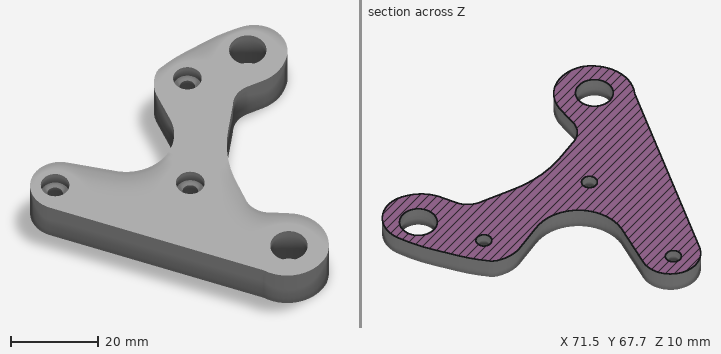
import cadquery as cq

thickness = 10.0
pivot_hole_diameter = 8.6
screw_hole_diameter = 3.6
counterbore_diameter = 6.6
counterbore_depth = 3.1

pivot_centres = [(33.1, 59.8), (62.3, 9.1)]
screw_centres = [(5.8, 6.85), (23.1, 47.1), (34.6, 18.4)]

left_end_radius = 7.15
bottom_edge_start_x = 6.85
bottom_edge_y = 0.2
bottom_edge_end_x = 59.45
right_lobe_bottom = (61.9, 0.0)
right_lobe_tip = (71.45, 9.2)


def plate():
    """Three-armed plate, outlined clockwise from the left end of its bottom edge."""
    outline = (
        cq.Workplane("XY")
        .moveTo(bottom_edge_start_x, bottom_edge_y)
        .threePointArc((0, left_end_radius), (5.85, 14.1))
        .lineTo(18.0, 15.8)
        .threePointArc((26.8, 26.6), (23.6, 34.4))
        .lineTo(18.7, 39.4)
        .threePointArc((16.5, 42.65), (15.8, 46.0))
        .threePointArc((15.9, 47.15), (16.4, 48.3))
        .threePointArc((17.85, 51.1), (19.65, 53.9))
        .lineTo(23.2, 58.9)
        .threePointArc((26.0, 62.4), (29.15, 65.5))
        .threePointArc((34.8, 67.7), (42.2, 60.0))
        .threePointArc((41.8, 56.4), (39.85, 52.9))
        .lineTo(36.6, 49.4)
        .threePointArc((35.35, 46.8), (35.6, 43.6))
        .lineTo(37.15, 36.4)
        .threePointArc((39.5, 29.4), (43.7, 23.15))
        .lineTo(48.6, 17.9)
        .threePointArc((51.45, 16.4), (55.15, 16.85))
        .lineTo(58.9, 18.0)
        .threePointArc((66.7, 17.3), right_lobe_tip)
        .threePointArc(right_lobe_bottom, (bottom_edge_end_x, bottom_edge_y))
        .close()
    )
    return outline.extrude(thickness)


def cut_holes(body):
    """Plain pivot holes and counterbored screw holes, all through the plate."""
    top = cq.Workplane("XY").workplane(offset=thickness)
    pivots = top.pushPoints(pivot_centres).circle(pivot_hole_diameter / 2).extrude(-thickness)
    screws = top.pushPoints(screw_centres).circle(screw_hole_diameter / 2).extrude(-thickness)
    counterbores = (
        top.pushPoints(screw_centres).circle(counterbore_diameter / 2).extrude(-counterbore_depth)
    )
    return body.cut(pivots).cut(screws).cut(counterbores)


result = cut_holes(plate())